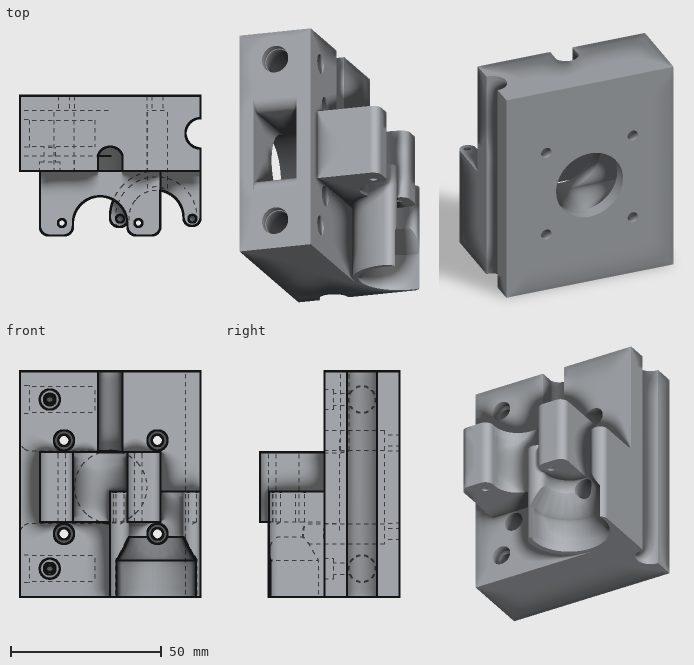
import cadquery as cq
import math

BLOCK_X = 60.0
BLOCK_Y = 25.0
BLOCK_Z = 75.0
MID_Y = BLOCK_Y / 2
MID_Z = BLOCK_Z / 2
EPS = 1.0

MOTOR_X = 30.15
MOTOR_Z = 36.5
MOTOR_OPENING_R = 12.0
SCREW_PITCH = 31.0
SCREW_D = 3.7
SCREW_HEAD_D = 6.7
WALL = 5.0
POCKET_LIP_R = 3.6

GROOVE_X = 30.0
GROOVE_W = 8.0
GROOVE_SIDE_Y = 5.35
GROOVE_DEPTH = 8.1

CHANNEL_R = 5.0

ROD_PITCH_Z = 56.1
ROD_MOUTH_D = 9.2
ROD_MOUTH_DEPTH = 3.2
ROD_D = 8.6
ROD_DEPTH = 25.0
SET_SCREW_X = 9.95
SET_SCREW_D = 3.9
SET_SCREW_HEAD_DEPTH = 3.0
SET_SCREW_DEPTH = 7.85
DRILL_POINT_ANGLE = 118.0

CLAMP_X = 26.65
CLAMP_W = 40.0
CLAMP_H = 23.2
CLAMP_REACH = 21.41
CLAMP_ARCH_R = 9.0
CLAMP_ARCH_Y = -17.4
CLAMP_TIP_R = 3.0
CLAMP_HOLE_PITCH = 25.4
CLAMP_HOLE_Y = -17.25
CLAMP_HOLE_D = 2.5

CRADLE_X = 45.25
CRADLE_H = 35.0
CRADLE_OUTER_R = 15.4
CRADLE_Y = -CRADLE_OUTER_R
CRADLE_NECK_R = 9.0
CRADLE_BORE_R = 13.5
CRADLE_BORE_TOP = 12.2
CRADLE_CONE_TOP = 19.9
CRADLE_HOLE_PITCH = 24.0
CRADLE_HOLE_Y = -15.8
CRADLE_HOLE_D = 2.6
CRADLE_HOLE_DEPTH = 10.0


def cylinder(diameter, length, start, direction):
    """Solid cylinder from a start point along a direction."""
    solid = cq.Solid.makeCylinder(diameter / 2, length, cq.Vector(*start), cq.Vector(*direction))
    return cq.Workplane(obj=solid)


def drilled_hole(diameter, depth, start, direction):
    """Blind hole with a conical drill point beyond its cylindrical depth."""
    radius = diameter / 2
    point_height = radius / math.tan(math.radians(DRILL_POINT_ANGLE / 2))
    bottom = cq.Vector(*start) + cq.Vector(*direction) * depth
    point = cq.Solid.makeCone(radius, 0, point_height, bottom, cq.Vector(*direction))
    return cylinder(diameter, depth, start, direction).union(cq.Workplane(obj=point))


def motor_screw_centres():
    half = SCREW_PITCH / 2
    return [(MOTOR_X + sx * half, MOTOR_Z + sz * half) for sx in (-1, 1) for sz in (-1, 1)]


def screw_head_bores(front_y):
    """Counterbores of the motor screws, from front_y back to the rear wall."""
    bores = cq.Workplane()
    for x, z in motor_screw_centres():
        length = BLOCK_Y - WALL - front_y
        bores = bores.add(cylinder(SCREW_HEAD_D, length, (x, front_y, z), (0, 1, 0)))
    return bores.combine()


def pocket():
    """Pocket with a half-round end and a rounded mouth on the left face."""
    half = MOTOR_OPENING_R
    lip = POCKET_LIP_R
    profile = (
        cq.Workplane("XZ", origin=(0, WALL, 0))
        .moveTo(0, MOTOR_Z - half - lip)
        .radiusArc((lip, MOTOR_Z - half), lip)
        .lineTo(MOTOR_X, MOTOR_Z - half)
        .threePointArc((MOTOR_X + half, MOTOR_Z), (MOTOR_X, MOTOR_Z + half))
        .lineTo(lip, MOTOR_Z + half)
        .radiusArc((0, MOTOR_Z + half + lip), lip)
        .close()
    )
    return profile.extrude(-(BLOCK_Y - 2 * WALL))


def groove():
    """Round-backed groove from the top face down into the motor opening."""
    half = GROOVE_W / 2
    return (
        cq.Workplane("XY", origin=(0, 0, MOTOR_Z))
        .moveTo(GROOVE_X - half, -EPS)
        .lineTo(GROOVE_X - half, GROOVE_SIDE_Y)
        .threePointArc((GROOVE_X, GROOVE_DEPTH), (GROOVE_X + half, GROOVE_SIDE_Y))
        .lineTo(GROOVE_X + half, -EPS)
        .close()
        .extrude(BLOCK_Z - MOTOR_Z + EPS)
    )


def make_block():
    block = cq.Workplane("XY").box(BLOCK_X, BLOCK_Y, BLOCK_Z, centered=False)
    opening = cylinder(2 * MOTOR_OPENING_R, BLOCK_Y, (MOTOR_X, 0, MOTOR_Z), (0, 1, 0))
    block = block.cut(pocket()).cut(opening).cut(groove())
    block = block.cut(cylinder(2 * CHANNEL_R, BLOCK_Z, (BLOCK_X, MID_Y, 0), (0, 0, 1)))

    block = block.cut(screw_head_bores(0))
    for x, z in motor_screw_centres():
        block = block.cut(cylinder(SCREW_D, BLOCK_Y, (x, 0, z), (0, 1, 0)))

    for side in (-1, 1):
        z = MID_Z + side * ROD_PITCH_Z / 2
        block = block.cut(cylinder(ROD_MOUTH_D, ROD_MOUTH_DEPTH, (0, MID_Y, z), (1, 0, 0)))
        block = block.cut(cylinder(ROD_D, ROD_DEPTH, (0, MID_Y, z), (1, 0, 0)))
        front = (SET_SCREW_X, 0, z)
        block = block.cut(cylinder(SCREW_HEAD_D, SET_SCREW_HEAD_DEPTH, front, (0, 1, 0)))
        block = block.cut(drilled_hole(SET_SCREW_D, SET_SCREW_DEPTH, front, (0, 1, 0)))
    return block


def upper_clamp():
    """Two-legged clamp standing in front of the motor opening."""
    bottom = MOTOR_Z - CLAMP_H / 2
    half = CLAMP_W / 2
    arch = CLAMP_ARCH_R
    clamp = (
        cq.Workplane("XY", origin=(CLAMP_X, 0, bottom))
        .moveTo(-half, 0)
        .lineTo(-half, -CLAMP_REACH)
        .lineTo(-arch, -CLAMP_REACH)
        .lineTo(-arch, CLAMP_ARCH_Y)
        .threePointArc((0, CLAMP_ARCH_Y + arch), (arch, CLAMP_ARCH_Y))
        .lineTo(arch, -CLAMP_REACH)
        .lineTo(half, -CLAMP_REACH)
        .lineTo(half, 0)
        .close()
        .extrude(CLAMP_H)
    )
    clamp = clamp.faces("<Y").edges("|Z").fillet(CLAMP_TIP_R)
    for side in (-1, 1):
        x = CLAMP_X + side * CLAMP_HOLE_PITCH / 2
        clamp = clamp.cut(cylinder(CLAMP_HOLE_D, CLAMP_H, (x, CLAMP_HOLE_Y, bottom), (0, 0, 1)))
    return clamp


def lower_cradle():
    """Cradle with a round left side, a straight right side and rounded arm tips."""
    left_tip_r = (CRADLE_OUTER_R - CRADLE_NECK_R) / 2
    right_neck_x = CRADLE_X + CRADLE_NECK_R
    right_tip_r = (BLOCK_X - right_neck_x) / 2
    left_x = CRADLE_X - CRADLE_OUTER_R
    diagonal = CRADLE_OUTER_R * math.sqrt(0.5)
    return (
        cq.Workplane("XY")
        .moveTo(CRADLE_X, 0)
        .threePointArc((CRADLE_X - diagonal, CRADLE_Y + diagonal), (left_x, CRADLE_Y))
        .threePointArc(
            (left_x + left_tip_r, CRADLE_Y - left_tip_r),
            (CRADLE_X - CRADLE_NECK_R, CRADLE_Y),
        )
        .threePointArc((CRADLE_X, CRADLE_Y + CRADLE_NECK_R), (right_neck_x, CRADLE_Y))
        .threePointArc((BLOCK_X - right_tip_r, CRADLE_Y - right_tip_r), (BLOCK_X, CRADLE_Y))
        .lineTo(BLOCK_X, 0)
        .close()
        .extrude(CRADLE_H)
    )


def cradle_bore():
    """Wide lower bore with the cone that narrows it to the neck."""
    return (
        cq.Workplane("XZ")
        .moveTo(0, 0)
        .lineTo(CRADLE_BORE_R, 0)
        .lineTo(CRADLE_BORE_R, CRADLE_BORE_TOP)
        .lineTo(CRADLE_NECK_R, CRADLE_CONE_TOP)
        .lineTo(0, CRADLE_CONE_TOP)
        .close()
        .revolve(360, (0, 0, 0), (0, 1, 0))
        .translate((CRADLE_X, CRADLE_Y, 0))
    )


def make_holder():
    cradle = lower_cradle().cut(cradle_bore())
    for side in (-1, 1):
        top = (CRADLE_X + side * CRADLE_HOLE_PITCH / 2, CRADLE_HOLE_Y, CRADLE_H)
        cradle = cradle.cut(drilled_hole(CRADLE_HOLE_D, CRADLE_HOLE_DEPTH, top, (0, 0, -1)))
    return upper_clamp().union(cradle).cut(screw_head_bores(-CLAMP_REACH))


block = make_block()
holder = make_holder()
result = cq.Compound.makeCompound([block.val(), holder.val()])